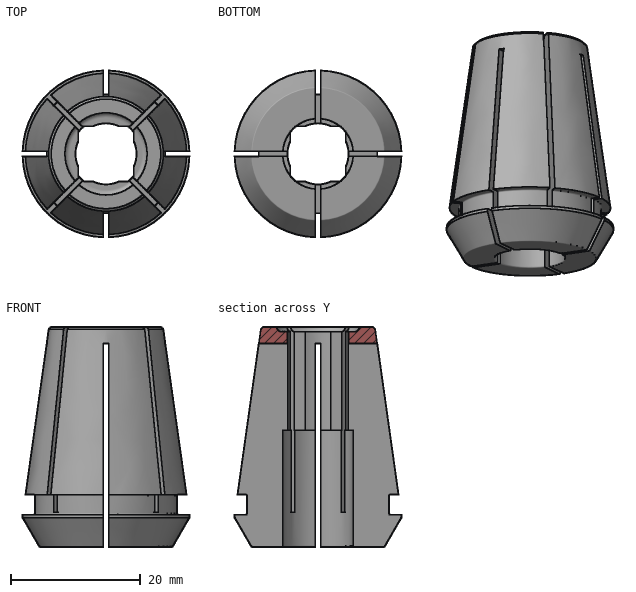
import cadquery as cq
import math

length = 34.0

flange_radius = 12.9
flange_top = 5.0
flange_rim_height = 0.45
nose_angle = math.radians(30)
nose_fillet = 0.2

neck_radius = 11.0
neck_fillet = 0.2
taper_bottom = 8.1

taper_angle = math.radians(8)
taper_bottom_radius = 12.45
tail_chamfer = 0.35

bore_radius = 5.45
bore_depth = 18.0
square_side = 8.5
square_relief_radius = 4.7

recess_radius = 6.35
recess_depth = 0.75

slot_width = 0.8
slot_pitch = 90
nose_slot_top = 31.4
tail_slot_floor = 5.4

flange_rim_bottom = flange_top - flange_rim_height
nose_radius = flange_radius - flange_rim_bottom * math.tan(nose_angle)
tail_radius = taper_bottom_radius - (length - taper_bottom) * math.tan(taper_angle)


def make_body():
    """Revolve the solid outer shape about Z."""
    fillet_radius = neck_radius + neck_fillet
    fillet_mid_radius = fillet_radius - neck_fillet * math.sqrt(0.5)
    fillet_mid_rise = neck_fillet * (1 - math.sqrt(0.5))
    profile = (
        cq.Workplane("XZ")
        .moveTo(0, 0)
        .lineTo(nose_radius, 0)
        .lineTo(flange_radius, flange_rim_bottom)
        .lineTo(flange_radius, flange_top)
        .lineTo(fillet_radius, flange_top)
        .threePointArc(
            (fillet_mid_radius, flange_top + fillet_mid_rise),
            (neck_radius, flange_top + neck_fillet),
        )
        .lineTo(neck_radius, taper_bottom - neck_fillet)
        .threePointArc(
            (fillet_mid_radius, taper_bottom - fillet_mid_rise),
            (fillet_radius, taper_bottom),
        )
        .lineTo(taper_bottom_radius, taper_bottom)
        .lineTo(tail_radius, length)
        .lineTo(0, length)
        .close()
    )
    body = profile.revolve(360, (0, 0, 0), (0, 1, 0))
    return body.faces(">Z").edges().chamfer(tail_chamfer)


def make_bore():
    """Round socket from the nose face, then the square drive and its relief up to the tail."""
    socket = cq.Workplane("XY").circle(bore_radius).extrude(bore_depth)
    drive_plane = cq.Workplane("XY", origin=(0, 0, bore_depth))
    drive_length = length - bore_depth
    square = drive_plane.rect(square_side, square_side).extrude(drive_length)
    relief = drive_plane.circle(square_relief_radius).extrude(drive_length)
    return socket.union(square).union(relief)


def make_recess():
    """Shallow disc below the tail face, its lower edge rounded over the full depth."""
    floor_radius = recess_radius - recess_depth
    recess_floor = length - recess_depth
    profile = (
        cq.Workplane("XZ")
        .moveTo(0, recess_floor)
        .lineTo(floor_radius, recess_floor)
        .threePointArc(
            (
                floor_radius + recess_depth * math.sqrt(0.5),
                length - recess_depth * math.sqrt(0.5),
            ),
            (recess_radius, length),
        )
        .lineTo(0, length)
        .close()
    )
    return profile.revolve(360, (0, 0, 0), (0, 1, 0))


def make_slots(start_angle, bottom, top):
    """Four radial slots between two heights; each blade spans the part and cuts an opposite pair."""
    blade = (
        cq.Workplane("XY", origin=(0, 0, bottom))
        .rect(2 * flange_radius, slot_width)
        .extrude(top - bottom)
    )
    first_pair = blade.rotate((0, 0, 0), (0, 0, 1), start_angle)
    second_pair = first_pair.rotate((0, 0, 0), (0, 0, 1), slot_pitch)
    return first_pair.union(second_pair)


body = make_body().cut(make_bore())
body = body.faces("<Z").edges().fillet(nose_fillet)
result = (
    body.cut(make_recess())
    .cut(make_slots(0, 0, nose_slot_top))
    .cut(make_slots(slot_pitch / 2, tail_slot_floor, length))
)